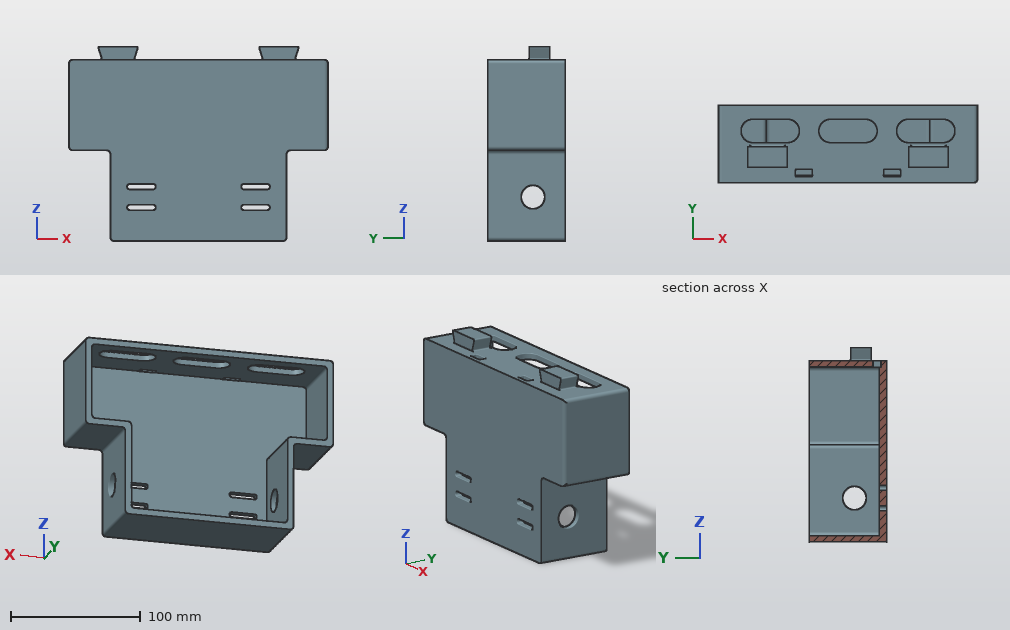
import cadquery as cq

head_width = 200.0
stem_width = 136.0
depth = 60.0
body_height = 140.0
shoulder_height = 70.0
side_wall = 5.0
front_wall = 6.0
corner_radius = 3.0
rim_radius = 0.5

clip_spacing = 124.0
clip_height = 10.0
clip_base_width = 24.8
clip_top_width = 31.2
clip_front = 12.0
clip_depth = 16.0
clip_radius = 1.0

oval_spacing = 60.0
oval_y = 40.0
oval_length = 45.0
oval_width = 18.0

latch_spacing = 68.0
latch_y = 7.5
latch_length = 13.0
latch_width = 6.0
latch_corner_radius = 1.0

vent_spacing = 88.0
vent_heights = (26.0, 42.0)
vent_length = 22.0
vent_width = 4.0

cable_hole_diameter = 18.0
cable_hole_y = 25.0
cable_hole_z = 34.0


def t_prism(inset, y_start):
    """T profile moved inward by inset, rounded at every corner, from y_start to the back."""
    half_head = head_width / 2 - inset
    half_stem = stem_width / 2 - inset
    bottom = inset
    shoulder = shoulder_height + inset
    top = body_height - inset
    outline = [
        (-half_stem, bottom),
        (half_stem, bottom),
        (half_stem, shoulder),
        (half_head, shoulder),
        (half_head, top),
        (-half_head, top),
        (-half_head, shoulder),
        (-half_stem, shoulder),
    ]
    front_plane = cq.Workplane("XZ", origin=(0, y_start, 0))
    prism = front_plane.polyline(outline).close().extrude(y_start - depth)
    return prism.edges("|Y").fillet(corner_radius)


def front_edge_waste():
    """Material outside the rounded vertical edge at the +X front of the head."""
    corner_x = head_width / 2
    center = (corner_x - corner_radius, corner_radius)
    head_height = body_height - shoulder_height
    base = cq.Workplane("XY", origin=(0, 0, shoulder_height))
    corner = base.rect(2 * corner_radius, 2 * corner_radius).extrude(head_height)
    corner = corner.translate((corner_x, 0, 0))
    round_edge = base.center(*center).circle(corner_radius).extrude(head_height)
    return corner.cut(round_edge)


def housing():
    outer = t_prism(0, 0).cut(front_edge_waste())
    cavity = t_prism(side_wall, front_wall)
    return outer.cut(cavity)


def round_rims(body, face_selector):
    """Round the outer rim of every opening in the selected flat face."""
    face = body.faces(face_selector).val()
    rim_edges = [edge for wire in face.innerWires() for edge in wire.Edges()]
    return body.newObject([body.val().fillet(rim_radius, rim_edges)])


def cut_top_openings(body):
    top_plane = cq.Workplane("XY", origin=(0, 0, body_height))
    ovals = (
        top_plane.pushPoints([(step * oval_spacing, oval_y) for step in (-1, 0, 1)])
        .slot2D(oval_length, oval_width)
        .extrude(-side_wall)
    )
    latches = (
        top_plane.pushPoints([(side * latch_spacing / 2, latch_y) for side in (-1, 1)])
        .rect(latch_length, latch_width)
        .extrude(-side_wall)
        .edges("|Z")
        .fillet(latch_corner_radius)
    )
    return round_rims(body.cut(ovals).cut(latches), ">Z")


def cut_vents(body):
    centers = [(side * vent_spacing / 2, z) for side in (-1, 1) for z in vent_heights]
    vents = (
        cq.Workplane("XZ")
        .pushPoints(centers)
        .slot2D(vent_length, vent_width)
        .extrude(-front_wall)
    )
    return round_rims(body.cut(vents), "<Y")


def cut_cable_hole(body):
    hole = (
        cq.Workplane("YZ")
        .center(cable_hole_y, cable_hole_z)
        .circle(cable_hole_diameter / 2)
        .extrude(stem_width / 2, both=True)
    )
    body = body.cut(hole)
    for side in (-1, 1):
        stem_side = (side * stem_width / 2, depth / 2, shoulder_height / 2)
        body = round_rims(body, cq.NearestToPointSelector(stem_side))
    return body


def clip(x):
    """Dovetail block, wider at its rounded top than at its base."""
    base_half = clip_base_width / 2
    top_half = clip_top_width / 2
    top = body_height + clip_height
    return (
        cq.Workplane("XZ", origin=(x, clip_front, 0))
        .moveTo(-base_half, body_height)
        .lineTo(base_half, body_height)
        .lineTo(top_half, top)
        .lineTo(-top_half, top)
        .close()
        .extrude(-clip_depth)
        .edges("|Y and >Z")
        .fillet(clip_radius)
    )


def add_clip(body, x):
    """Join a clip and blend its sides and back into the top face; its front stays sharp."""
    body = body.union(clip(x))
    middle_y = clip_front + clip_depth / 2
    back_y = clip_front + clip_depth
    base_half = clip_base_width / 2
    base_points = [(x - base_half, middle_y), (x + base_half, middle_y), (x, back_y)]
    base_edges = [
        body.edges(cq.NearestToPointSelector((*point, body_height))).val()
        for point in base_points
    ]
    return body.newObject([body.solids().val().fillet(clip_radius, base_edges)])


result = housing()
result = cut_top_openings(result)
result = cut_vents(result)
result = cut_cable_hole(result)
for side in (-1, 1):
    result = add_clip(result, side * clip_spacing / 2)